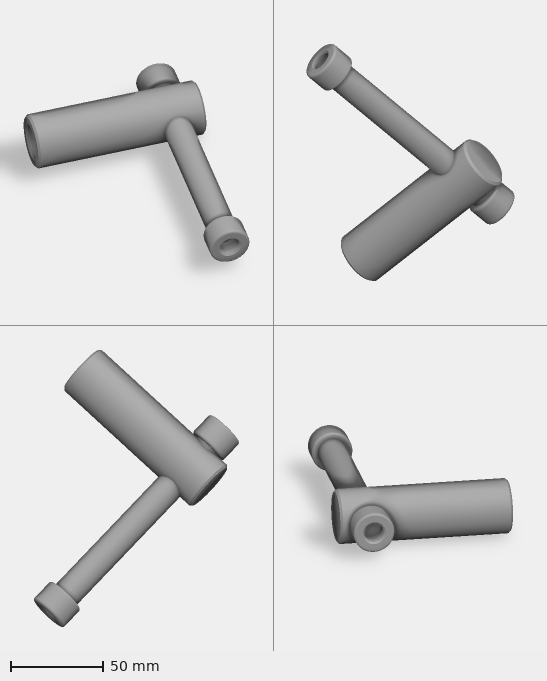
import cadquery as cq
import math

body_diameter = 30.0
body_length = 95.0
body_chamfer = 1.3
bore_diameter = 17.4
bore_depth = 50.0
bore_chamfer = 1.3
drill_point_angle = 118

handle_length = 140
rod_diameter = 16.0
rod_inset = 16.0
collar_diameter = 22.4
collar_length = 13.9
collar_fillet = 1.4
socket_diameter = 10.6
socket_depth = 10.0
socket_chamfer = 1.0

body_gap = 0.1
body_x = collar_length + body_gap + body_diameter / 2


def make_body():
    """Chamfered bar from Y = 0 to +Y, centred on the Y axis."""
    bar = cq.Workplane("XZ").circle(body_diameter / 2).extrude(-body_length)
    return bar.faces("<Y or >Y").chamfer(body_chamfer)


def make_bore():
    """Drilled hole with a conical bottom and a chamfered mouth."""
    radius = bore_diameter / 2
    point_depth = radius / math.tan(math.radians(drill_point_angle / 2))
    half_profile = (
        cq.Workplane("XY")
        .moveTo(0, 0)
        .lineTo(radius + bore_chamfer, 0)
        .lineTo(radius, bore_chamfer)
        .lineTo(radius, bore_depth)
        .lineTo(0, bore_depth + point_depth)
        .close()
    )
    return half_profile.revolve(360, (0, 0, 0), (0, 1, 0))


def make_collar():
    """Rounded collar from X = 0 to +X with a flat-bottomed socket in its -X face."""
    collar = cq.Workplane("YZ").circle(collar_diameter / 2).extrude(collar_length)
    collar = collar.edges("%CIRCLE").fillet(collar_fillet)
    socket = cq.Workplane("YZ").circle(socket_diameter / 2).extrude(socket_depth)
    mouth_diameter = socket_diameter + 2 * socket_chamfer
    countersink = cq.Workplane("YZ").circle(mouth_diameter / 2).extrude(socket_chamfer, taper=45)
    return collar.cut(socket).cut(countersink)


def make_handle():
    """Rod with mirrored collars, running along X from X = 0."""
    rod_length = handle_length - 2 * collar_length
    rod = cq.Workplane("YZ", origin=(collar_length, 0, 0)).circle(rod_diameter / 2).extrude(rod_length)
    near_collar = make_collar()
    far_collar = near_collar.mirror("YZ", (handle_length / 2, 0, 0))
    return rod.union(near_collar).union(far_collar)


body = make_body().translate((body_x, 0, 0))
bore = make_bore().translate((body_x, 0, 0))
handle = make_handle().translate((0, body_length - rod_inset, 0))
result = body.union(handle).cut(bore)